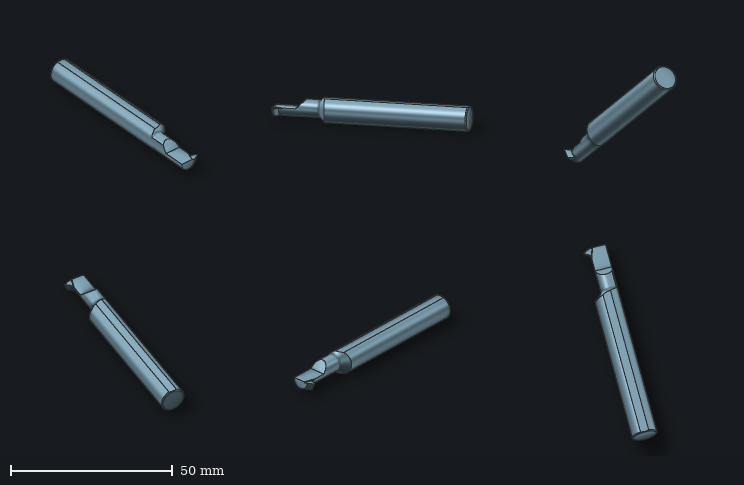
import cadquery as cq
import math

length = 63.5
shank_radius = 7.95 / 2
shank_flat_z = 3.75
chamfer_axial = 0.3
chamfer_radial = 0.4

neck_radius = 5.65 / 2
neck_axis_y = -1.4
cone_foot_x = 48.3
blend_radius = 0.65

head_top_z = 0.05
head_start_x = 55.9

tip_x = 62.3
tip_y = 3.4
tooth_base_y = -1.3
tooth_half_angle = math.radians(30)
tooth_depth = 2.55
relief_angle = 12

groove_start_x = 59.8
groove_start_y = 1.4
groove_turn = -18
groove_depth = 0.25
groove_wall_run = 0.2
rake_angle = math.radians(5.5)
groove_run = 3.8

neck_edge_y = neck_axis_y + neck_radius
margin = 0.65


def make_shank():
    """Chamfered round bar with a narrow flat along its top."""
    profile = [
        (0, 0),
        (0, shank_radius - chamfer_radial),
        (chamfer_axial, shank_radius),
        (length, shank_radius),
        (length, 0),
    ]
    bar = cq.Workplane("XY").polyline(profile).close().revolve(360, (0, 0), (1, 0))
    below_flat = cq.Workplane("XY").box(
        length, 2 * shank_radius, 2 * shank_radius, centered=(False, True, False)
    ).translate((0, 0, shank_flat_z - 2 * shank_radius))
    return bar.intersect(below_flat)


def make_neck_envelope():
    """Cylinder around the neck axis, flaring back through a blend and a 45 degree cone."""
    outer_radius = 2 * shank_radius
    cone_slope = math.radians(45)
    blend_tangent = blend_radius * math.tan(cone_slope / 2)
    blend_end_x = cone_foot_x + blend_tangent
    blend_center_r = neck_radius + blend_radius

    def blend_point(angle):
        x = blend_end_x - blend_radius * math.sin(angle)
        return x, neck_axis_y + blend_center_r - blend_radius * math.cos(angle)

    envelope = (
        cq.Workplane("XY")
        .moveTo(0, neck_axis_y)
        .lineTo(0, neck_axis_y + outer_radius)
        .lineTo(cone_foot_x - (outer_radius - neck_radius), neck_axis_y + outer_radius)
        .lineTo(*blend_point(cone_slope))
        .threePointArc(blend_point(cone_slope / 2), blend_point(0))
        .lineTo(length, neck_edge_y)
        .lineTo(length, neck_axis_y)
        .close()
    )
    return envelope.revolve(360, (0, neck_axis_y), (1, neck_axis_y))


def make_head_clearance():
    """Space above the head, ending in a 45 degree ramp up to the neck."""
    rise = 2 * shank_radius
    outline = [
        (head_start_x, head_top_z),
        (head_start_x - rise, head_top_z + rise),
        (length + margin, head_top_z + rise),
        (length + margin, head_top_z),
    ]
    return cq.Workplane("XZ").polyline(outline).close().extrude(shank_radius + margin, both=True)


def make_tooth():
    """Triangular tooth tapering downwards, trimmed at the end of the tool."""
    half_width = (tip_y - tooth_base_y) * math.tan(tooth_half_angle)
    corners = [
        (tip_x - half_width, tooth_base_y),
        (tip_x + half_width, tooth_base_y),
        (tip_x, tip_y),
    ]
    tooth = (
        cq.Workplane("XY", origin=(0, 0, head_top_z))
        .polyline(corners)
        .close()
        .extrude(-tooth_depth, taper=relief_angle)
    )
    beyond_end = cq.Workplane("XY").box(
        length, length, length, centered=(False, True, True)
    ).translate((length, 0, 0))
    return tooth.cut(beyond_end)


def make_chip_groove():
    """Groove cutter running obliquely from the side of the head to its end."""
    floor_end_z = (groove_run - groove_wall_run) * math.tan(rake_angle) - groove_depth
    section = [
        (0, 0),
        (groove_wall_run, -groove_depth),
        (groove_run, floor_end_z),
        (groove_run, floor_end_z + margin),
        (0, margin),
    ]
    cutter = cq.Workplane("YZ").polyline(section).close().extrude(length / 2, both=True)
    return cutter.rotate((0, 0, 0), (0, 0, 1), groove_turn).translate(
        (groove_start_x, groove_start_y, head_top_z)
    )


body = make_shank().intersect(make_neck_envelope()).cut(make_head_clearance())
tooth_and_groove_region = cq.Workplane("XY").box(
    length - head_start_x, 2 * shank_radius, 2 * shank_radius, centered=(False, True, True)
).translate((head_start_x, 0, 0))
groove = make_chip_groove().intersect(tooth_and_groove_region)
result = body.union(make_tooth()).cut(groove)